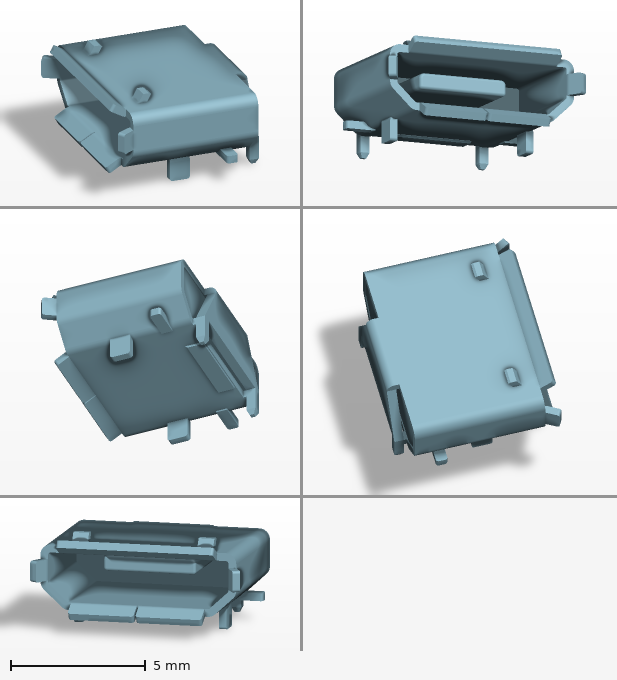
import cadquery as cq
import math

sheet = 0.3
shell_half_width = 3.75
shell_height = 2.44
shell_length = 5.0
shell_radius = 0.4
slope_start_height = 0.85
floor_half_width = 2.82

flare_angle = math.radians(30)
flare_length = 0.55
corner_radius = 0.105
roof_tab_width = 6.01
floor_tab_gap = 0.07
floor_tab_width = 2.52
side_tab_height = 0.795
side_tab_bottom = 1.085

finger_angle = math.radians(60)
finger_width = 0.6
finger_spacing = 4.79
finger_front = 0.62
finger_height = 0.35
finger_tip_drop = 0.05
finger_root_radius = 0.1

foot_drop = 0.065
foot_top = sheet - foot_drop
leg_outer = 2.92
leg_inner = leg_outer - sheet
leg_front = 1.8
leg_width = 0.795
leg_bottom = -0.81
pad_outer = 3.795
pad_front = 3.75
pad_width = 0.44

cover_gap = 0.12
cover_thickness = 0.36
cover_top_half_width = 1.5
cover_bottom_half_width = 2.605
post_width = 0.37
post_tip_height = 0.2
post_tip_inset = 0.1
plate_front = shell_length + cover_gap

insulator_rear = shell_length - 0.04
block_depth = 0.72
block_front = insulator_rear - block_depth
tongue_half_width = 1.76
tongue_bottom = 1.22
tongue_height = 0.6
tongue_length = 2.57
tongue_top_radius = 0.2
tongue_bottom_radius = 0.11
tongue_edge_radius = 0.105
standoff_half_width = cover_top_half_width
standoff_height = 0.09
standoff_bevel = 0.07


def box(x_range, y_range, z_range):
    """Box between the given limits."""
    (x0, x1), (y0, y1), (z0, z1) = x_range, y_range, z_range
    return cq.Workplane("XY").box(x1 - x0, y1 - y0, z1 - z0, centered=False).translate((x0, y0, z0))


def tube_section(start_y):
    """Outer outline of the shell with sharp corners, drawn on the plane y = start_y."""
    return cq.Workplane("XZ", origin=(0, start_y, 0)).polyline([
        (-floor_half_width, 0),
        (floor_half_width, 0),
        (shell_half_width, slope_start_height),
        (shell_half_width, shell_height),
        (-shell_half_width, shell_height),
        (-shell_half_width, slope_start_height),
    ]).close()


def tube_core(start_y, end_y):
    """Solid that fills the inside of the shell between two depths."""
    outer = tube_section(start_y).extrude(start_y - end_y).edges("|Y").fillet(shell_radius)
    inner_outline = outer.faces("<Y").wires().val().offset2D(-sheet)[0]
    return cq.Workplane(cq.Solid.extrudeLinear(inner_outline, [], cq.Vector(0, end_y - start_y, 0)))


def flared_tab(width):
    """Tab bent outward (+Z) about its outer edge, which lies on the X axis; it points along -Y."""
    sin_a = math.sin(flare_angle)
    cos_a = math.cos(flare_angle)
    half_a = flare_angle / 2
    tip = (-flare_length * cos_a, flare_length * sin_a)
    bend_end = (-sheet * sin_a, -sheet * cos_a)
    return (
        cq.Workplane("YZ", origin=(-width / 2, 0, 0))
        .lineTo(0, -sheet)
        .threePointArc((-sheet * math.sin(half_a), -sheet * math.cos(half_a)), bend_end)
        .lineTo(bend_end[0] + tip[0], bend_end[1] + tip[1])
        .lineTo(*tip)
        .close()
        .extrude(width)
        .edges(cq.selectors.ParallelDirSelector(cq.Vector(0, sin_a, cos_a)))
        .fillet(corner_radius)
    )


def turned(tab, angle):
    """Tab turned about the Y axis."""
    return tab.rotate((0, 0, 0), (0, 1, 0), angle)


def mouth_tabs():
    """Flared tabs on the roof, the floor and both sides of the mouth."""
    tabs = [flared_tab(roof_tab_width).translate((0, 0, shell_height))]
    floor_tab_x = (floor_tab_gap + floor_tab_width) / 2
    side_tab_z = side_tab_bottom + side_tab_height / 2
    for side in (-1, 1):
        tabs.append(turned(flared_tab(floor_tab_width), 180).translate((side * floor_tab_x, 0, 0)))
        side_tab = turned(flared_tab(side_tab_height), side * 90)
        tabs.append(side_tab.translate((side * shell_half_width, 0, side_tab_z)))
    return tabs


def spring_finger(center_x):
    """Finger leaning backward out of the roof, with a flat top and a bevelled rear tip."""
    tan_a = math.tan(finger_angle)
    rear = finger_front + sheet / math.sin(finger_angle)
    tip_height = finger_height - finger_tip_drop
    tip_y = rear + tip_height / tan_a
    fillet_reach = finger_root_radius * math.tan(finger_angle / 2)
    fillet_end = (
        finger_front + fillet_reach * math.cos(finger_angle),
        shell_height + fillet_reach * math.sin(finger_angle),
    )
    return (
        cq.Workplane("YZ", origin=(center_x - finger_width / 2, 0, 0))
        .moveTo(finger_front - fillet_reach, shell_height - sheet / 2)
        .lineTo(finger_front - fillet_reach, shell_height)
        .radiusArc(fillet_end, -finger_root_radius)
        .lineTo(finger_front + finger_height / tan_a, shell_height + finger_height)
        .lineTo(tip_y - finger_tip_drop * tan_a, shell_height + finger_height)
        .lineTo(tip_y, shell_height + tip_height)
        .lineTo(rear, shell_height)
        .lineTo(rear, shell_height - sheet / 2)
        .close()
        .extrude(finger_width)
    )


def solder_leg():
    """Leg on the +X side, bent straight down with a round outer bend."""
    leg = box(
        (leg_inner, leg_outer), (leg_front, leg_front + leg_width), (leg_bottom, foot_top)
    )
    bend_envelope = (
        cq.Workplane("XZ", origin=(0, leg_front, 0))
        .moveTo(leg_inner, leg_bottom)
        .lineTo(leg_outer, leg_bottom)
        .lineTo(leg_outer, -foot_drop)
        .radiusArc((leg_inner, foot_top), -sheet)
        .close()
        .extrude(-leg_width)
    )
    return leg.edges("|X and <Z").fillet(corner_radius).intersect(bend_envelope)


def solder_pad():
    """Flat pad that sticks out below the slope on the +X side."""
    pad = box((leg_inner, pad_outer), (pad_front, pad_front + pad_width), (-foot_drop, foot_top))
    return pad.edges("|Z and >X").fillet(corner_radius)


def standoff():
    """Insulator foot that passes through the shell floor, with a bevelled front edge."""
    foot = box(
        (-standoff_half_width, standoff_half_width),
        (block_front, insulator_rear),
        (-standoff_height, sheet),
    )
    return foot.edges("|X and <Y and <Z").chamfer(standoff_bevel)


def make_shell():
    shell = tube_section(0).extrude(-shell_length).edges("|Y").fillet(shell_radius)
    for finger_x in (-finger_spacing / 2, finger_spacing / 2):
        shell = shell.union(spring_finger(finger_x))
    for foot in (solder_leg(), solder_pad()):
        shell = shell.union(foot).union(foot.mirror("YZ"))
    shell = shell.cut(tube_core(0, shell_length)).cut(standoff())
    for tab in mouth_tabs():
        shell = shell.union(tab)
    return shell


def cover_post(side):
    """Post with a four-sided tapered tip, on the side given by the sign."""
    center_x = side * (cover_bottom_half_width - post_width / 2)
    x_range = (center_x - post_width / 2, center_x + post_width / 2)
    y_range = (plate_front, plate_front + cover_thickness)
    tip_top = leg_bottom + post_tip_height
    taper = math.degrees(math.atan(post_tip_inset / post_tip_height))
    tip = (
        cq.Workplane("XY", origin=(center_x, plate_front + cover_thickness / 2, tip_top))
        .rect(post_width, cover_thickness)
        .extrude(-post_tip_height, taper=taper)
    )
    strap = box(x_range, (shell_length, plate_front), (0, sheet))
    return box(x_range, y_range, (tip_top, sheet)).union(tip).union(strap, clean=False)


def make_rear_cover():
    """Trapezoidal plate, round at the top, joined to the shell by a flange and two floor straps."""
    plate_top = shell_height - sheet
    plate = (
        cq.Workplane("XZ", origin=(0, plate_front, 0))
        .polyline([
            (-cover_bottom_half_width, sheet),
            (cover_bottom_half_width, sheet),
            (cover_top_half_width, plate_top),
            (cover_top_half_width, shell_height),
            (-cover_top_half_width, shell_height),
            (-cover_top_half_width, plate_top),
        ])
        .close()
        .extrude(-cover_thickness)
        .edges("|X and >Y and >Z")
        .fillet(sheet)
    )
    flange = box(
        (-cover_top_half_width, cover_top_half_width),
        (shell_length, plate_front),
        (plate_top, shell_height),
    )
    cover = plate.union(flange, clean=False)
    for side in (-1, 1):
        cover = cover.union(cover_post(side), clean=False)
    return cover


def make_insulator():
    tongue = (
        box(
            (-tongue_half_width, tongue_half_width),
            (block_front - tongue_length, block_front),
            (tongue_bottom, tongue_bottom + tongue_height),
        )
        .edges("|Y and >Z").fillet(tongue_top_radius)
        .edges("|Y and <Z").fillet(tongue_bottom_radius)
        .faces("<Y").edges().fillet(tongue_edge_radius)
    )
    block = tube_core(block_front, insulator_rear)
    return block.union(tongue).union(standoff())


shell = make_shell()
rear_cover = make_rear_cover()
insulator = make_insulator()

result = cq.Compound.makeCompound([shell.val(), rear_cover.val(), insulator.val()])